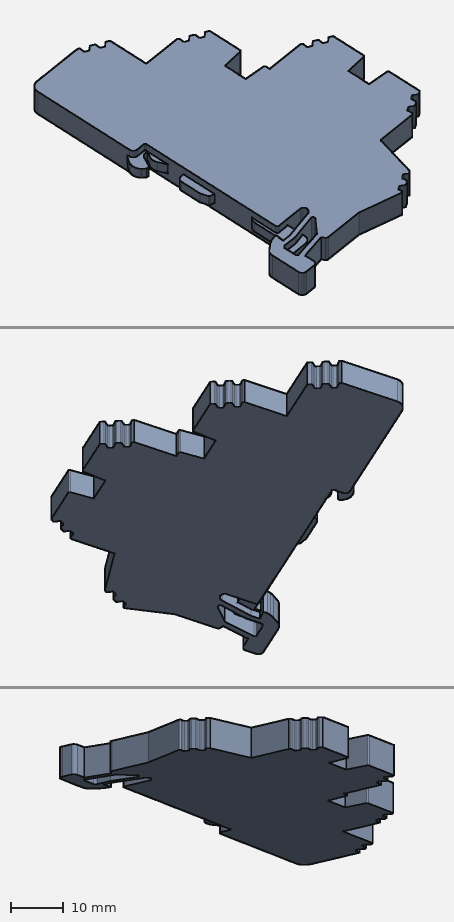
import cadquery as cq
import math


LENGTH = 71.7
HEIGHT = 51.2
THICKNESS = 6.0
INSERT_WIDTH = 2.45

STEP_RISE = 14.5
TOP_LEVEL = HEIGHT
MIDDLE_LEVEL = TOP_LEVEL - STEP_RISE
LOW_LEVEL = MIDDLE_LEVEL - STEP_RISE
MIDDLE_WALL = 12.3
TOP_WALL = 30.7
TOP_RIGHT_WALL = 58.95
RIGHT_WALL = 68.7

BEVEL_WIDTH = 3.15
BEVEL_HEIGHT = 5.75
BEVEL_LENGTH = math.hypot(BEVEL_WIDTH, BEVEL_HEIGHT)
NOTCH_COUNT = 2
NOTCH_START = 0.9
NOTCH_PITCH = 3.15
NOTCH_MOUTH = 2.0
NOTCH_FLANK_RUN = 0.5
NOTCH_DEPTH = 1.15
TOOTH_RADIUS = 0.3

SLOT_OFFSET = (TOP_RIGHT_WALL - TOP_WALL) / 2
SLOT_MOUTH = 5.95
SLOT_FLOOR = 5.2
SLOT_DEPTH = 5.0
SLOT_LIP_RADIUS = 0.3

SLOPE_TOP = 36.5
SLOPE_BEVEL_X = 68.5
SLOPE_BEVEL_Y = 34.35
SLOPE_TOP_END_Y = 34.05
LEAN_TOP_X = 71.35
LEAN_TOP_Y = 29.1
LEAN_BOTTOM_Y = 19.35

BASE = 3.0
RAIL_FACE = 6.25
RAIL_STEP = 26.25
RAIL_END = 59.7
BASE_RADIUS = 1.95
STEP_RADIUS = 1.1
STEP_INNER_RADIUS = 0.3
RAIL_END_RADIUS = 0.4

SPRING_SLOT_TOP = 13.6
SPRING_SLOT_RIGHT = 61.45
FOOT_LEFT = 61.0
FOOT_TOP_LEFT = 4.5
FOOT_TOP_RIGHT = 4.1
ARM_BASE = 62.95
ARM_THICKNESS = 1.1
ARM_BEND_LEFT_Y = 6.25
ARM_BEND_RIGHT_Y = 6.7
ARM_BASE_Y = 4.3
WINDOW_TOP = 12.8
WINDOW_TOP_LEFT = 62.75
WINDOW_TOP_RIGHT = 63.5
WINDOW_SHOULDER = (66.5, 10.0)
WINDOW_BOTTOM_RIGHT = 67.7
WINDOW_TOP_RADIUS = 0.4
OUTER_ARM_TOP = (67.7, 9.75)
RIGHT_WALL_BOTTOM = 10.25
FOOT_TOE_LEFT = 63.0
FOOT_CHEEK = (61.4, 2.5)
FOOT_CHEEK_TOP = 3.7
RIGHT_WALL_RADIUS = 0.6
FOOT_TOP_RADIUS = 0.85
FOOT_BOTTOM_RADIUS = 1.1
FOOT_TOE_RADIUS = 1.8
FOOT_CHEEK_RADIUS = 2.9
SPRING_SLOT_RIGHT_RADIUS = 1.0
SPRING_SLOT_LEFT_RADIUS = 0.85
WINDOW_LEFT_RADIUS = 0.6
WINDOW_RIGHT_RADIUS = 0.35

PAD_LEFT = 35.9
PAD_RIGHT = 43.9
PAD_BOTTOM = 4.5
PAD_BOTTOM_LEFT = 36.15
PAD_FLAT_END = 41.65
PAD_RAMP_END = (43.45, 5.1)
PAD_RAMP_RADIUS = 0.35
PAD_LEFT_RADIUS = 0.85

CLIP_LEFT = 53.05
CLIP_TOP = 9.25
CLIP_BOTTOM = 5.6
CLIP_LEG_LEFT = 62.5
CLIP_LEG_RIGHT = 65.45
CLIP_RADIUS = 1.4

HOOK_LEFT = 24.7
HOOK_HEEL = (25.2, 2.5)
HOOK_BELLY = (27.5, 0.85)
HOOK_BELLY_END = (29.05, 2.0)
HOOK_TIP_X = 29.75
HOOK_TIP_BOTTOM = 2.8
HOOK_TIP_TOP = 3.45
HOOK_THROAT = (26.9, 4.95)
HOOK_THROAT_TOP_X = 26.8
BUMP_PEAK = (29.1, 4.95)
HOOK_BELLY_RADIUS = 2.45
HOOK_TIP_RADIUS = 0.2
HOOK_THROAT_RADIUS = 0.85
BUMP_RADIUS = 2.15
HOOK_ROOT_RIGHT = 32.05
HOOK_ROOT_DEPTH = 0.7


def rounded_outline(corners):
    """Closed wire through (x, y) corners; a third value rounds that corner to its radius."""
    arcs = []
    for i, corner in enumerate(corners):
        point = cq.Vector(corner[0], corner[1])
        if len(corner) == 2:
            arcs.append((point,))
            continue
        before = corners[i - 1]
        after = corners[(i + 1) % len(corners)]
        to_before = (cq.Vector(before[0], before[1]) - point).normalized()
        to_after = (cq.Vector(after[0], after[1]) - point).normalized()
        half_angle = to_before.getAngle(to_after) / 2
        radius = corner[2]
        trim = radius / math.tan(half_angle)
        middle_offset = radius / math.sin(half_angle) - radius
        middle = point + (to_before + to_after).normalized() * middle_offset
        arcs.append((point + to_before * trim, middle, point + to_after * trim))

    edges = []
    for i, arc in enumerate(arcs):
        edges.append(cq.Edge.makeLine(arcs[i - 1][-1], arc[0]))
        if len(arc) > 1:
            edges.append(cq.Edge.makeThreePointArc(*arc))
    return cq.Wire.assembleEdges(edges)


def plate(corners, thickness):
    """Flat part with a rounded outline, centred in the thickness of the housing."""
    blank = cq.Workplane("XY").add(rounded_outline(corners)).toPending().extrude(thickness)
    return blank.translate((0, 0, (THICKNESS - thickness) / 2))


def notches(x, y, inward):
    """Notch corners down a bevel that starts at (x, y); inward is +1 if the body lies at +X of it."""
    run_x = BEVEL_WIDTH / BEVEL_LENGTH
    run_y = BEVEL_HEIGHT / BEVEL_LENGTH

    def corner(along, depth):
        return (
            x + inward * (depth * run_y - along * run_x),
            y - along * run_y - depth * run_x,
            TOOTH_RADIUS,
        )

    corners = []
    for i in range(NOTCH_COUNT):
        start = NOTCH_START + i * NOTCH_PITCH
        end = start + NOTCH_MOUTH
        corners += [
            corner(start, 0),
            corner(start + NOTCH_FLANK_RUN, NOTCH_DEPTH),
            corner(end - NOTCH_FLANK_RUN, NOTCH_DEPTH),
            corner(end, 0),
        ]
    return corners


def left_shoulder(wall, level):
    """Toothed bevel at the upper left of a terminal, from its wall up to its top."""
    top_x = wall + BEVEL_WIDTH
    return [(wall, level - BEVEL_HEIGHT), *reversed(notches(top_x, level, 1)), (top_x, level)]


def right_shoulder(wall, level):
    """Toothed bevel at the upper right of a terminal, from its top down to its wall."""
    top_x = wall - BEVEL_WIDTH
    return [(top_x, level), *notches(top_x, level, -1), (wall, level - BEVEL_HEIGHT)]


def screwdriver_slot(wall, level):
    """Tapered slot in the top of a terminal, from left to right."""
    centre = wall + SLOT_OFFSET
    floor = level - SLOT_DEPTH
    return [
        (centre - SLOT_MOUTH / 2, level, SLOT_LIP_RADIUS),
        (centre - SLOT_FLOOR / 2, floor),
        (centre + SLOT_FLOOR / 2, floor),
        (centre + SLOT_MOUTH / 2, level, SLOT_LIP_RADIUS),
    ]


def housing_blank():
    left_side = [
        (0, BASE, BASE_RADIUS),
        *left_shoulder(0, LOW_LEVEL),
        (MIDDLE_WALL, LOW_LEVEL),
        *left_shoulder(MIDDLE_WALL, MIDDLE_LEVEL),
        *screwdriver_slot(MIDDLE_WALL, MIDDLE_LEVEL),
        (TOP_WALL, MIDDLE_LEVEL),
    ]
    top_terminal = [
        *left_shoulder(TOP_WALL, TOP_LEVEL),
        *screwdriver_slot(TOP_WALL, TOP_LEVEL),
        *right_shoulder(TOP_RIGHT_WALL, TOP_LEVEL),
    ]
    sloping_terminal = [
        (TOP_RIGHT_WALL, SLOPE_TOP),
        (SLOPE_BEVEL_X, SLOPE_TOP_END_Y),
        *notches(SLOPE_BEVEL_X, SLOPE_BEVEL_Y, -1)[:-1],
        (LEAN_TOP_X, LEAN_TOP_Y, TOOTH_RADIUS),
        (RIGHT_WALL, LEAN_BOTTOM_Y),
    ]
    foot = [
        (RIGHT_WALL, RIGHT_WALL_BOTTOM, RIGHT_WALL_RADIUS),
        OUTER_ARM_TOP,
        (RIGHT_WALL, FOOT_TOP_RIGHT),
        (LENGTH, FOOT_TOP_RIGHT, FOOT_TOP_RADIUS),
        (LENGTH, 0, FOOT_BOTTOM_RADIUS),
        (FOOT_TOE_LEFT, 0, FOOT_TOE_RADIUS),
        (*FOOT_CHEEK, FOOT_CHEEK_RADIUS),
        (FOOT_LEFT, FOOT_CHEEK_TOP),
        (FOOT_LEFT, FOOT_TOP_LEFT),
        (ARM_BASE, ARM_BASE_Y),
    ]
    spring_slot = [
        (ARM_BASE, ARM_BEND_LEFT_Y),
        (SPRING_SLOT_RIGHT, SPRING_SLOT_TOP, SPRING_SLOT_RIGHT_RADIUS),
        (RAIL_END, SPRING_SLOT_TOP, SPRING_SLOT_LEFT_RADIUS),
    ]
    rail_side = [
        (RAIL_END, RAIL_FACE, RAIL_END_RADIUS),
        (RAIL_STEP, RAIL_FACE, STEP_INNER_RADIUS),
        (RAIL_STEP, BASE, STEP_RADIUS),
    ]
    outline = left_side + top_terminal + sloping_terminal + foot + spring_slot + rail_side
    return plate(outline, THICKNESS)


def foot_window():
    """Opening between the two spring arms of the foot."""
    arm_right = ARM_BASE + ARM_THICKNESS
    return plate(
        [
            (arm_right, BASE, WINDOW_LEFT_RADIUS),
            (arm_right, ARM_BEND_RIGHT_Y),
            (WINDOW_TOP_LEFT, WINDOW_TOP, WINDOW_TOP_RADIUS),
            (WINDOW_TOP_RIGHT, WINDOW_TOP, WINDOW_TOP_RADIUS),
            WINDOW_SHOULDER,
            (WINDOW_BOTTOM_RIGHT, BASE, WINDOW_RIGHT_RADIUS),
        ],
        THICKNESS,
    )


def make_clip():
    """Bent bar that lies along the rail face and turns down through the inner spring arm."""
    return plate(
        [
            (CLIP_LEFT, CLIP_BOTTOM, CLIP_RADIUS),
            (CLIP_LEFT, CLIP_TOP),
            (CLIP_LEG_RIGHT, CLIP_TOP, CLIP_RADIUS),
            (CLIP_LEG_RIGHT, BASE),
            (CLIP_LEG_LEFT, BASE),
            (CLIP_LEG_LEFT, CLIP_BOTTOM),
        ],
        INSERT_WIDTH,
    )


def make_pad():
    """Contact pad on the middle of the rail face."""
    return plate(
        [
            (PAD_LEFT, RAIL_FACE),
            (PAD_BOTTOM_LEFT, PAD_BOTTOM, PAD_LEFT_RADIUS),
            (PAD_FLAT_END, PAD_BOTTOM),
            (*PAD_RAMP_END, PAD_RAMP_RADIUS),
            (PAD_RIGHT, RAIL_FACE),
        ],
        INSERT_WIDTH,
    )


def hook_root():
    """Part of the hook that is set into the rail face."""
    root_top = RAIL_FACE + HOOK_ROOT_DEPTH
    return plate(
        [
            (RAIL_STEP, RAIL_FACE - STEP_INNER_RADIUS),
            (RAIL_STEP, root_top),
            (HOOK_ROOT_RIGHT, root_top),
            (HOOK_ROOT_RIGHT, RAIL_FACE),
        ],
        INSERT_WIDTH,
    )


def hook_blank():
    """Rail hook and the bump beside it, joined by the root; it still overlaps the rounded step."""
    round_top = BASE + STEP_RADIUS
    root_top = RAIL_FACE + HOOK_ROOT_DEPTH
    return plate(
        [
            (HOOK_LEFT, BASE),
            HOOK_HEEL,
            (*HOOK_BELLY, HOOK_BELLY_RADIUS),
            HOOK_BELLY_END,
            (HOOK_TIP_X, HOOK_TIP_BOTTOM),
            (HOOK_TIP_X, HOOK_TIP_TOP, HOOK_TIP_RADIUS),
            (*HOOK_THROAT, HOOK_THROAT_RADIUS),
            (HOOK_THROAT_TOP_X, RAIL_FACE),
            (*BUMP_PEAK, BUMP_RADIUS),
            (HOOK_ROOT_RIGHT, RAIL_FACE),
            (HOOK_ROOT_RIGHT, root_top),
            (RAIL_STEP, root_top),
            (RAIL_STEP, round_top),
            (RAIL_STEP - STEP_RADIUS, round_top),
        ],
        INSERT_WIDTH,
    )


clip = make_clip()
pad = make_pad()
housing = housing_blank().cut(foot_window()).cut(clip).cut(hook_root())
hook = hook_blank().cut(housing)

result = cq.Compound.makeCompound([housing.val(), hook.val(), pad.val(), clip.val()])